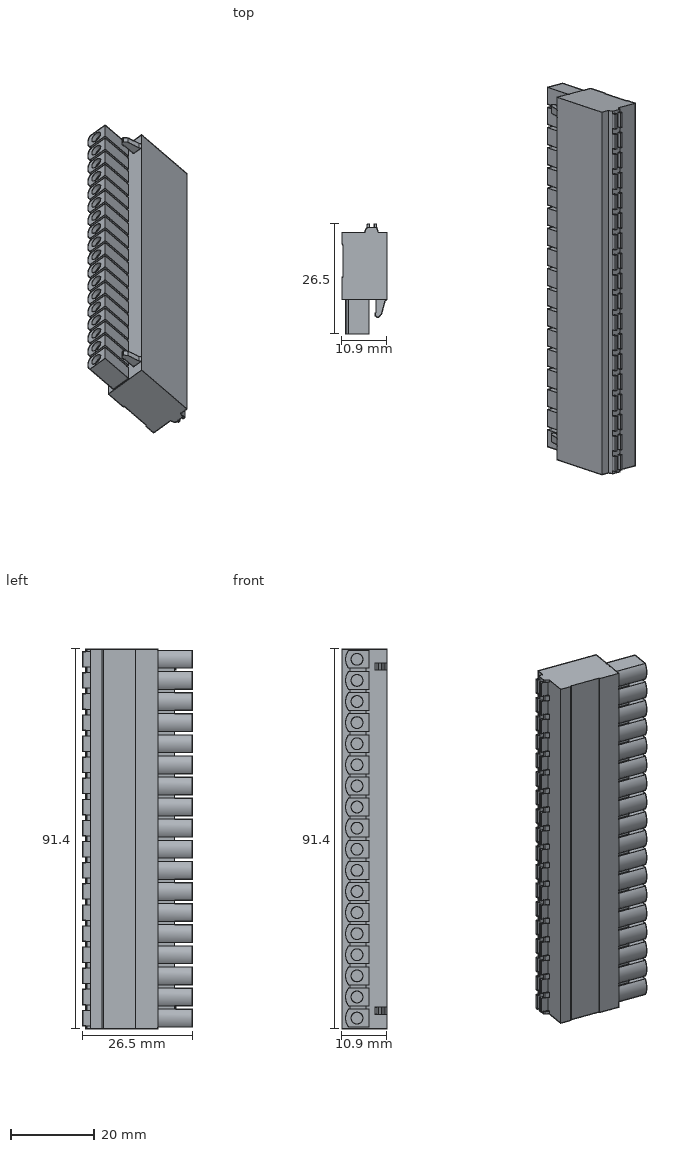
import cadquery as cq

pole_count = 18
row_length = 91.4
pitch = row_length / pole_count
first_pole_drop = 2.5

body_width = 10.9
body_depth = 16.2

relief_depth = 0.3
relief_front = 5.4
relief_back = 13.1
relief_slope = 0.4

sleeve_left = 0.9
sleeve_right = 6.6
sleeve_height = 4.3
sleeve_length = 8.3
sleeve_bulge = 0.7
bore_diameter = 2.8
bore_x = 3.7
bore_depth = 1.2

web_left = 2.0
web_right = 5.85
web_length = 4.0

ridge_left = 5.5
ridge_right = 8.8
ridge_height = 1.2
ridge_slope = 0.4
ridge_chamfer = 0.3

block_height = 3.75
tab_width = 0.6
tab_length = 0.8
tab_chamfer = 0.2
block_left = 6.0
right_tab_left = 7.8

latch_height = 1.7
latch_centre_from_end = 4.3
latch_shift = 0.1

latch_outline = [
    (8.2, 0),
    (8.2, -3.1),
    (8.05, -3.3),
    (8.05, -3.9),
    (8.5, -4.3),
    (8.9, -4.3),
    (9.6, -3.5),
    (10.4, -0.4),
    (body_width, 0),
]

pole_heights = [row_length - first_pole_drop - i * pitch for i in range(pole_count)]


def box(x_min, x_max, y_min, y_max, z_min, z_max):
    size = (x_max - x_min, y_max - y_min, z_max - z_min)
    return cq.Workplane("XY").box(*size, centered=False).translate((x_min, y_min, z_min))


def housing():
    return (
        cq.Workplane("XY")
        .moveTo(0, 0)
        .lineTo(body_width, 0)
        .lineTo(body_width, body_depth)
        .lineTo(0, body_depth)
        .lineTo(0, relief_back + relief_slope)
        .lineTo(relief_depth, relief_back)
        .lineTo(relief_depth, relief_front)
        .lineTo(0, relief_front)
        .close()
        .extrude(row_length)
    )


def rear_ridge():
    top = body_depth + ridge_height
    shoulder = top - ridge_chamfer
    return (
        cq.Workplane("XY")
        .moveTo(ridge_left, body_depth)
        .lineTo(ridge_right, body_depth)
        .lineTo(ridge_right - ridge_slope, top)
        .lineTo(ridge_left + ridge_slope + ridge_chamfer, top)
        .lineTo(ridge_left + ridge_slope, shoulder)
        .close()
        .extrude(row_length)
    )


def rear_block(z):
    base_top = body_depth + ridge_height
    tab_top = base_top + tab_length
    left_tab_right = block_left + tab_width
    right_tab_right = right_tab_left + tab_width
    return (
        cq.Workplane("XY", origin=(0, 0, z - block_height / 2))
        .moveTo(block_left, body_depth)
        .lineTo(block_left, tab_top - tab_chamfer)
        .lineTo(block_left + tab_chamfer, tab_top)
        .lineTo(left_tab_right, tab_top)
        .lineTo(left_tab_right, base_top)
        .lineTo(right_tab_left, base_top)
        .lineTo(right_tab_left, tab_top)
        .lineTo(right_tab_right, tab_top)
        .lineTo(right_tab_right, body_depth)
        .close()
        .extrude(block_height)
    )


def block_clearance(z):
    low = z - block_height / 2
    return box(ridge_left, block_left, body_depth, body_depth + ridge_height, low, low + block_height)


def wire_sleeve(z):
    half = sleeve_height / 2
    arc_start = sleeve_left + sleeve_bulge
    return (
        cq.Workplane("XZ")
        .moveTo(sleeve_right, z - half)
        .lineTo(sleeve_right, z + half)
        .lineTo(arc_start, z + half)
        .threePointArc((sleeve_left, z), (arc_start, z - half))
        .close()
        .extrude(sleeve_length)
    )


def wire_bores():
    return (
        cq.Workplane("XZ", origin=(0, -sleeve_length, 0))
        .pushPoints([(bore_x, z) for z in pole_heights])
        .circle(bore_diameter / 2)
        .extrude(-bore_depth)
    )


def latch(z):
    return (
        cq.Workplane("XY", origin=(0, 0, z - latch_height / 2))
        .polyline(latch_outline)
        .close()
        .extrude(latch_height)
    )


result = housing().union(rear_ridge())
for z in pole_heights:
    result = result.cut(block_clearance(z)).union(rear_block(z)).union(wire_sleeve(z))
result = result.union(box(web_left, web_right, -web_length, 0, pole_heights[-1], pole_heights[0]))
for z in (latch_centre_from_end, row_length - latch_centre_from_end):
    result = result.union(latch(z + latch_shift))
result = result.cut(wire_bores())